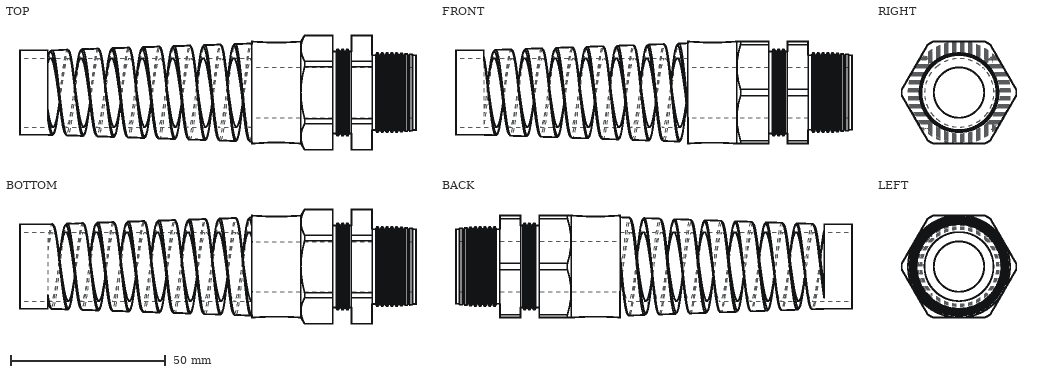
import cadquery as cq
import math


collar_end = 9.1
spring_end = 74.95
cap_hex_start = 90.8
cap_hex_end = 101.1
nut_start = 107.1
nut_end = 113.75
total_length = 128.02

collar_radius = 13.7
spring_end_radius = 15.95
sleeve_bore_radius = 11.15
sleeve_slope = (spring_end_radius - collar_radius) / (spring_end - collar_end)

slot_pitch = 9.87
slot_width = 4.1
slot_start = 5.4
slot_turns = 7.5
slot_edge_break = 0.4

cutter_margin = 1.5

across_flats = 33.02
across_corners = 36.98
hex_chamfer_angle = 30
half_side_angle = 30

cap_radius = across_flats / 2
cap_waist_radius = 16.2

thread_pitch = 1.55
ridge_base_width = 1.1
ridge_crest_width = 0.3
neck_root_radius = 13.3
neck_crest_radius = 14.0
neck_first_crest = 102.7
neck_ridge_count = 3
entry_root_radius = 12.1
entry_crest_radius = 12.8
entry_first_crest = 115.5
entry_ridge_count = 8
entry_taper_start = 121.5
entry_end_radius = 12.25

passage_radius = 8.1


def cylinder(start, end, radius):
    """Solid cylinder along X between two stations."""
    return cq.Workplane("YZ").workplane(offset=start).circle(radius).extrude(end - start)


def revolved(profile):
    """Turn a closed profile in the XZ plane about the X axis."""
    return profile.close().revolve(360, (0, 0, 0), (1, 0, 0))


def hexagonal_prism(start, end, flats):
    """Sharp hexagonal prism with corners pointing to +Y and -Y and flats facing +Z and -Z."""
    sharp_corners = flats / math.cos(math.radians(half_side_angle))
    return cq.Workplane("YZ").workplane(offset=start).polygon(6, sharp_corners).extrude(end - start)


def hexagon(start, end):
    """Hexagon whose corners are cut flat by a second hexagon turned half a side."""
    prism = hexagonal_prism(start, end, across_flats)
    corner_cutter = hexagonal_prism(start, end, across_corners).rotate((0, 0, 0), (1, 0, 0), half_side_angle)
    return prism.intersect(corner_cutter)


def spring_slot():
    """Right-handed helical slot with broken outer edges, following the taper of the sleeve."""
    surface = collar_radius + (slot_start - collar_end) * sleeve_slope
    inner = sleeve_bore_radius - 2 * cutter_margin
    outer = surface + cutter_margin
    half_width = slot_width / 2
    half_mouth = half_width + slot_edge_break + cutter_margin
    taper_angle = math.degrees(math.atan(sleeve_slope))
    path = cq.Wire.makeHelix(slot_pitch, slot_turns * slot_pitch, surface, angle=taper_angle)
    ribbon = (
        cq.Workplane("XZ")
        .moveTo(inner, -half_width)
        .lineTo(surface - slot_edge_break, -half_width)
        .lineTo(outer, -half_mouth)
        .lineTo(outer, half_mouth)
        .lineTo(surface - slot_edge_break, half_width)
        .lineTo(inner, half_width)
        .close()
        .sweep(path, isFrenet=True)
        .rotate((0, 0, 0), (0, 1, 0), 90)
        .translate((slot_start, 0, 0))
    )
    return ribbon.intersect(cylinder(collar_end, spring_end, 2 * outer))


def sleeve():
    """Plain collar followed by the tapered spring."""
    tube = revolved(
        cq.Workplane("XZ")
        .moveTo(0, sleeve_bore_radius)
        .lineTo(0, collar_radius)
        .lineTo(collar_end, collar_radius)
        .lineTo(spring_end, spring_end_radius)
        .lineTo(spring_end, sleeve_bore_radius)
    )
    return tube.cut(spring_slot())


def cap():
    """Waisted round body with a hexagon whose sleeve-side corners are chamfered."""
    body = revolved(
        cq.Workplane("XZ")
        .moveTo(spring_end, 0)
        .lineTo(spring_end, cap_radius)
        .threePointArc(((spring_end + cap_hex_start) / 2, cap_waist_radius), (cap_hex_start, cap_radius))
        .lineTo(cap_hex_start, 0)
    )
    cone_length = cap_hex_end - cap_hex_start
    cone_rise = cone_length / math.tan(math.radians(hex_chamfer_angle))
    chamfer_cone = revolved(
        cq.Workplane("XZ")
        .moveTo(cap_hex_start, 0)
        .lineTo(cap_hex_start, cap_radius)
        .lineTo(cap_hex_end, cap_radius + cone_rise)
        .lineTo(cap_hex_end, 0)
    )
    return body.union(hexagon(cap_hex_start, cap_hex_end).intersect(chamfer_cone))


def threaded_rod(start, end, root_radius, crest_radius, first_crest, ridge_count):
    """Cylinder carrying evenly spaced ridges with narrow flat crests."""
    profile = cq.Workplane("XZ").moveTo(start, 0).lineTo(start, root_radius)
    for ridge in range(ridge_count):
        crest = first_crest + ridge * thread_pitch
        profile = (
            profile.lineTo(crest - ridge_base_width / 2, root_radius)
            .lineTo(crest - ridge_crest_width / 2, crest_radius)
            .lineTo(crest + ridge_crest_width / 2, crest_radius)
            .lineTo(crest + ridge_base_width / 2, root_radius)
        )
    return revolved(profile.lineTo(end, root_radius).lineTo(end, 0))


def entry_thread():
    """Threaded end whose last ridges run down to a smaller lead-in diameter."""
    rod = threaded_rod(
        nut_end, total_length, entry_root_radius, entry_crest_radius, entry_first_crest, entry_ridge_count
    )
    envelope = revolved(
        cq.Workplane("XZ")
        .moveTo(nut_end, 0)
        .lineTo(nut_end, entry_crest_radius)
        .lineTo(entry_taper_start, entry_crest_radius)
        .lineTo(total_length, entry_end_radius)
        .lineTo(total_length, 0)
    )
    return rod.intersect(envelope)


neck = threaded_rod(
    cap_hex_end, nut_start, neck_root_radius, neck_crest_radius, neck_first_crest, neck_ridge_count
)
gland = cap().union(neck).union(hexagon(nut_start, nut_end)).union(entry_thread())
gland = gland.cut(cylinder(spring_end, total_length, passage_radius))

result = sleeve().union(gland)